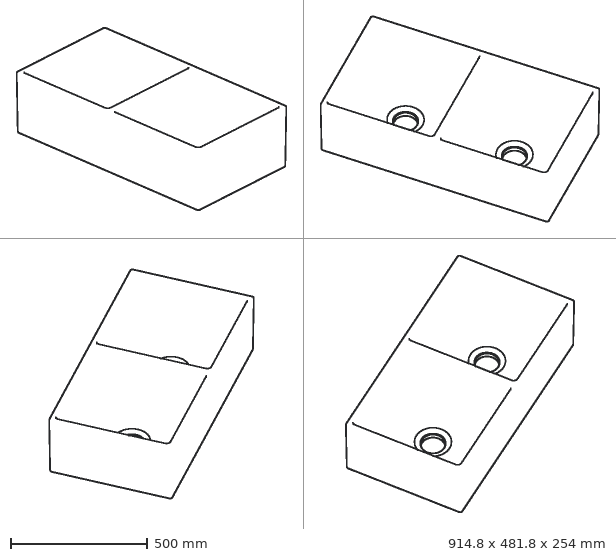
import cadquery as cq
import math

length = 915.0
width = 482.0
height = 254.0
outer_draft_inset = 3.0
corner_radius = 9.0
edge_radius = 7.0

end_rim_wall = 17.0
long_rim_wall = 18.0
divider = 25.0
rim_radius = 5.5
bowl_depth = 225.0
bowl_draft = 2.0
bowl_corner_radius = 16.0
bowl_floor_radius = 15.0
floor_slope = 0.04

drain_spacing = 435.0
drain_diameter = 90.0
recess_diameter = 136.0
recess_depth = 8.0
recess_floor_diameter = 94.0
drain_edge_height = 4.0

bowl_length = (length - 2 * end_rim_wall - divider) / 2
bowl_width = width - 2 * long_rim_wall
bowl_center = (divider + bowl_length) / 2
recess_z = height - bowl_depth
recess_floor_z = recess_z - recess_depth

AXIS_START = (0, 0, 0)
AXIS_END = (0, 1, 0)
SLANTED_CORNERS = "not(|X or |Y)"


def make_body():
    """Block with rounded edges whose sides lean in slightly toward the bottom."""
    draft = math.degrees(math.atan(outer_draft_inset / height))
    block = (
        cq.Workplane("XY", origin=(0, 0, height))
        .rect(length, width)
        .extrude(-height, taper=draft)
    )
    block = block.edges(SLANTED_CORNERS).fillet(corner_radius)
    return block.faces("<Z or >Z").edges().fillet(edge_radius)


def make_funnel(side):
    """Round solid, wider than a bowl, whose underside is a shallow cone falling to the drain."""
    radius = bowl_length + bowl_width
    recess_radius = recess_diameter / 2
    outer_z = recess_z + (radius - recess_radius) * floor_slope
    return (
        cq.Workplane("XZ", origin=(side * drain_spacing / 2, 0, 0))
        .moveTo(0, height)
        .lineTo(radius, height)
        .lineTo(radius, outer_z)
        .lineTo(recess_radius, recess_z)
        .lineTo(0, recess_z)
        .close()
        .revolve(360, AXIS_START, AXIS_END)
    )


def make_bowl(side):
    """The hollow of one bowl: leaning sides, rounded corners and a floor falling to the drain."""
    bowl = (
        cq.Workplane("XY", origin=(side * bowl_center, 0, height))
        .rect(bowl_length, bowl_width)
        .extrude(-height, taper=bowl_draft)
    )
    bowl = bowl.edges(SLANTED_CORNERS).fillet(bowl_corner_radius)
    bowl = bowl.intersect(make_funnel(side))
    sloping_floor = bowl.faces(">>Z[1]")
    return sloping_floor.edges("not(%LINE or %CIRCLE)").fillet(bowl_floor_radius)


def make_drain(side):
    """The hollow of one drain: conical recess, narrow bevel and through hole."""
    hole_radius = drain_diameter / 2
    return (
        cq.Workplane("XZ", origin=(side * drain_spacing / 2, 0, 0))
        .lineTo(hole_radius, 0)
        .lineTo(hole_radius, recess_floor_z - drain_edge_height)
        .lineTo(recess_floor_diameter / 2, recess_floor_z)
        .lineTo(recess_diameter / 2, recess_z)
        .lineTo(0, recess_z)
        .close()
        .revolve(360, AXIS_START, AXIS_END)
    )


def round_rims(sink):
    """Round the top edge of every bowl."""
    top = sink.faces(">Z").val()
    rim_edges = [edge for wire in top.innerWires() for edge in wire.Edges()]
    return sink.newObject(rim_edges).fillet(rim_radius)


result = make_body()
for side in (-1, 1):
    result = result.cut(make_bowl(side))
result = round_rims(result)
for side in (-1, 1):
    result = result.cut(make_drain(side))